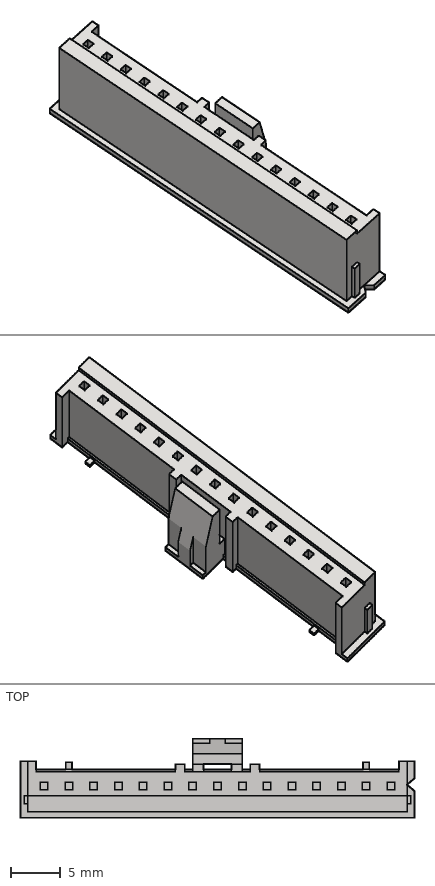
import cadquery as cq

length = 39.8
total_depth = 8.0
total_height = 10.5
mid_x = length / 2

flange_height = 0.7
flange_side = 0.75
flange_front = 0.6
flange_back_y = 4.9
body_back_y = 4.65
end_back_y = 5.75
end_wall_reach = 1.6
deck_z = 10.0
lip_back_y = 2.23

contact_count = 15
contact_span = 35.02
contact_pitch = contact_span / (contact_count - 1)
contact_size = 0.75
contact_depth = 2.0
contact_y = 3.22

key_width = 0.8
key_projection = 0.35
key_top_z = 5.4

guide_width = 0.95
guide_back_y = 5.4
guide_offset = 3.8
peg_width = 0.65
peg_back_y = 5.6
peg_height = 0.35
peg_offset = 15.0

latch_width = 5.0
latch_front_y = 5.4
latch_top_back_y = 6.5
latch_bend_z = 3.7
shoulder_width = 1.7
shoulder_depth = 0.48
leg_width = 1.1

notch_y = 3.35
notch_half_width = 0.65
notch_depth = flange_side


def block(x0, x1, y0, y1, z0, z1):
    """Axis-aligned box between two opposite corners."""
    return cq.Workplane("XY").box(x1 - x0, y1 - y0, z1 - z0, centered=False).translate((x0, y0, z0))


def centred_block(x, width, y0, y1, z0, z1):
    """Box of the given width centred on x."""
    return block(x - width / 2, x + width / 2, y0, y1, z0, z1)


def make_housing():
    """Body with front lip, base flange and the two deeper end walls."""
    body_end_x = length - flange_side
    housing = block(0, length, 0, flange_back_y, 0, flange_height)
    housing = housing.union(block(flange_side, body_end_x, flange_front, body_back_y, 0, deck_z))
    housing = housing.union(block(flange_side, body_end_x, flange_front, lip_back_y, 0, total_height))
    for outer_x, body_x, inner_x in (
        (0, flange_side, end_wall_reach),
        (length, body_end_x, length - end_wall_reach),
    ):
        flange_end = block(min(outer_x, inner_x), max(outer_x, inner_x), 0, end_back_y, 0, flange_height)
        end_wall = block(min(body_x, inner_x), max(body_x, inner_x), flange_front, end_back_y, 0, deck_z)
        housing = housing.union(flange_end).union(end_wall)
    return housing


def make_end_keys():
    """Keying ribs, modelled as one bar passing through both end faces."""
    reach = flange_side - key_projection
    return block(reach, length - reach, lip_back_y - key_width, lip_back_y, 0, key_top_z)


def make_rear_ribs():
    """Full-height guide ribs and low pegs, mirrored about the middle."""
    ribs = cq.Workplane("XY")
    for side in (-1, 1):
        guide_x = mid_x + side * guide_offset
        peg_x = mid_x + side * peg_offset
        ribs = ribs.add(centred_block(guide_x, guide_width, lip_back_y, guide_back_y, 0, deck_z))
        ribs = ribs.add(centred_block(peg_x, peg_width, lip_back_y, peg_back_y, 0, peg_height))
    return ribs.combine()


def make_latch():
    """Wedge-shaped lever with two rear shoulders, carried on two legs."""
    lever = (
        cq.Workplane("YZ")
        .moveTo(latch_front_y, 0)
        .lineTo(total_depth, 0)
        .lineTo(total_depth, latch_bend_z)
        .lineTo(latch_top_back_y, total_height)
        .lineTo(latch_front_y, total_height)
        .close()
        .extrude(latch_width)
        .translate((mid_x - latch_width / 2, 0, 0))
    )
    for side in (-1, 1):
        shoulder_x = mid_x + side * (latch_width - shoulder_width) / 2
        leg_x = mid_x + side * (latch_width - leg_width) / 2
        lever = lever.cut(centred_block(
            shoulder_x, shoulder_width, total_depth - shoulder_depth, total_depth, flange_height, total_height
        ))
        lever = lever.union(centred_block(leg_x, leg_width, lip_back_y, latch_front_y, 0, latch_bend_z))
    return lever


def make_contact_openings():
    """Row of square blind openings sunk into the deck."""
    openings = cq.Workplane("XY").workplane(offset=deck_z).center(mid_x, contact_y)
    return (
        openings.rarray(contact_pitch, 0.4, contact_count, 1)
        .rect(contact_size, contact_size)
        .extrude(-contact_depth)
    )


def make_polarity_notch():
    """V-shaped cut through the flange at the +X end."""
    return (
        cq.Workplane("XY")
        .moveTo(length, notch_y - notch_half_width)
        .lineTo(length - notch_depth, notch_y)
        .lineTo(length, notch_y + notch_half_width)
        .close()
        .extrude(flange_height)
    )


result = make_housing().union(make_end_keys()).union(make_rear_ribs()).union(make_latch())
result = result.cut(make_contact_openings()).cut(make_polarity_notch())